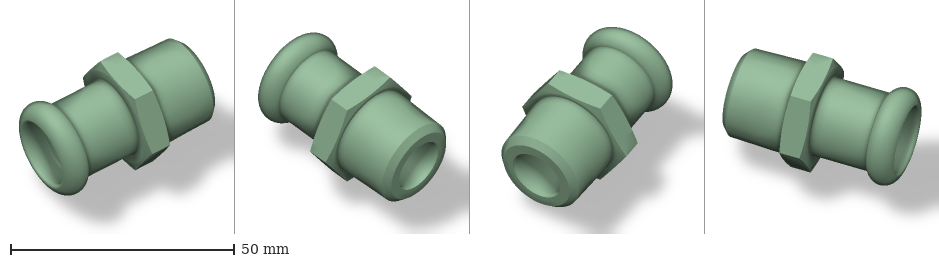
import cadquery as cq
import math

length = 41.0
bead_width = 6.45
hex_start = 19.93
hex_end = 26.0
collar_end = 27.55
end_chamfer = 1.5

hex_flats = 24.0
hex_corners = hex_flats / math.cos(math.radians(30))
hex_face_diameter = 22.95
hex_chamfer_angle = 15.0
neck_radius = 18.3 / 2
neck_fillet = 0.33
bead_radius = 22.7 / 2
collar_radius = 21.3 / 2
taper_end_radius = 20.6 / 2

mouth_radius = 8.5
lip_radius = 15.7 / 2
lip_round = mouth_radius - lip_radius
lip_end = 1.9
groove_radius = 8.45
groove_back = 5.35
groove_exit = 5.9
groove_exit_radius = 8.2
socket_start = 6.7
socket_round = 1.65
socket_radius = 15.3 / 2
socket_depth = 20.1
bore_radius = 12.6 / 2
bore_chamfer = 0.5

diagonal = math.sqrt(0.5)


def revolve_about_y(profile):
    """Close a half profile on the Y axis and turn it into a solid of revolution."""
    return profile.close().revolve(360, (0, 0, 0), (0, 1, 0))


def make_round_body():
    """Bead, neck, collar and tapered end as one revolved profile of radius against Y."""
    profile = (
        cq.Workplane("XY")
        .lineTo(mouth_radius, 0)
        .threePointArc((bead_radius, bead_width / 2), (neck_radius, bead_width))
        .lineTo(neck_radius, hex_start - neck_fillet)
        .threePointArc(
            (
                neck_radius + neck_fillet * (1 - diagonal),
                hex_start - neck_fillet * (1 - diagonal),
            ),
            (neck_radius + neck_fillet, hex_start),
        )
        .lineTo(neck_radius + neck_fillet, hex_end)
        .lineTo(collar_radius, hex_end)
        .lineTo(collar_radius, collar_end)
        .lineTo(taper_end_radius, length - end_chamfer)
        .lineTo(taper_end_radius - end_chamfer, length)
        .lineTo(0, length)
    )
    return revolve_about_y(profile)


def make_hex():
    """Hexagon with corners on X, its corners cut back by a shallow cone on both faces."""
    prism = (
        cq.Workplane("XZ", origin=(0, hex_start, 0))
        .polygon(6, hex_corners)
        .extrude(hex_start - hex_end)
    )
    face_radius = hex_face_diameter / 2
    corner_radius = hex_corners / 2
    drop = (corner_radius - face_radius) * math.tan(math.radians(hex_chamfer_angle))
    envelope = (
        cq.Workplane("XY")
        .moveTo(0, hex_start)
        .lineTo(face_radius, hex_start)
        .lineTo(corner_radius, hex_start + drop)
        .lineTo(corner_radius, hex_end - drop)
        .lineTo(face_radius, hex_end)
        .lineTo(0, hex_end)
    )
    return prism.intersect(revolve_about_y(envelope))


def make_bore():
    """Rounded mouth, flared seal groove, socket and chamfered through bore."""
    profile = (
        cq.Workplane("XY")
        .lineTo(mouth_radius, 0)
        .threePointArc(
            (mouth_radius - lip_round * diagonal, lip_round * (1 - diagonal)),
            (lip_radius, lip_round),
        )
        .lineTo(lip_radius, lip_end)
        .tangentArcPoint((groove_radius, groove_back), relative=False)
        .lineTo(groove_exit_radius, groove_exit)
        .radiusArc((socket_radius, socket_start), socket_round)
        .lineTo(socket_radius, socket_depth)
        .lineTo(bore_radius + bore_chamfer, socket_depth)
        .lineTo(bore_radius, socket_depth + bore_chamfer)
        .lineTo(bore_radius, length)
        .lineTo(0, length)
    )
    return revolve_about_y(profile)


result = make_round_body().union(make_hex()).cut(make_bore())